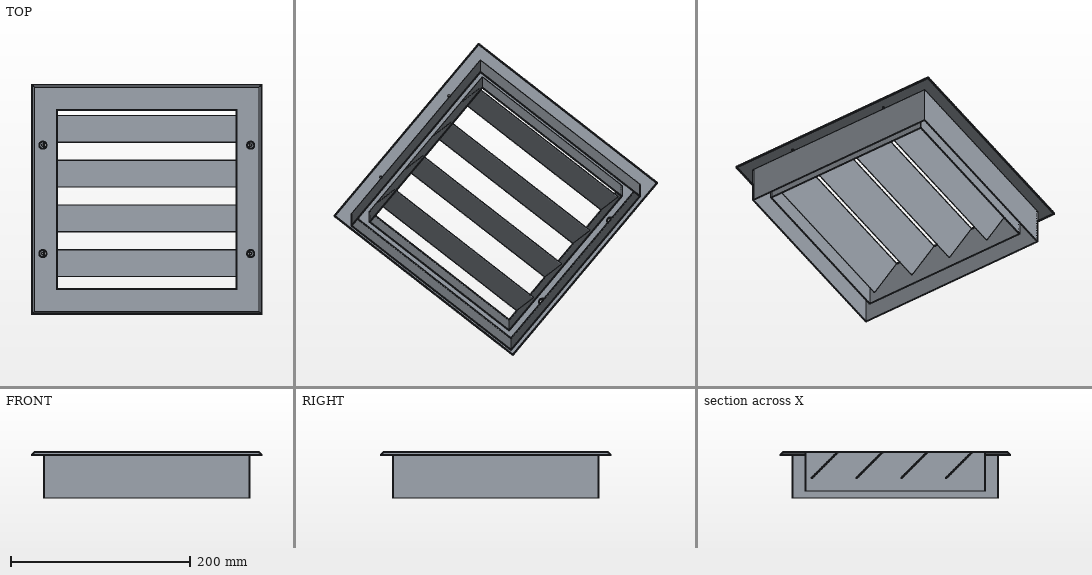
import cadquery as cq
import math

total_height = 52.0

sheet_thickness = 1.0

cover_width = 257.0
cover_height = 4.5
bevel_size = 3.0
bevel_angle = 45.0
opening_width = 199.0
cover_bottom = total_height - cover_height
cover_underside = total_height - sheet_thickness

cavity_width = cover_width - 2 * sheet_thickness
bevel_offset_drop = sheet_thickness * math.tan(math.radians(bevel_angle / 2))
cavity_bevel_start = total_height - bevel_size - bevel_offset_drop

sleeve_height = 44.0
sleeve_width = opening_width + 2 * sheet_thickness

blade_length = opening_width
blade_width = 42.0
blade_thickness = 1.5
blade_tilt = 45.0
blade_count = 4
blade_pitch = 50.0
blade_row_shift = 3.75
blade_half_height = (
    (blade_width - blade_thickness) * math.sin(math.radians(blade_tilt)) + blade_thickness
) / 2
blade_center_z = total_height - blade_half_height

screw_spacing_x = 232.0
screw_spacing_y = 121.0
countersink_diameter = 9.0
countersink_half_angle = 45.0
flange_hole_diameter = 2.5

box_width = 230.0
flange_width = cavity_width
box_height = cover_bottom + sheet_thickness
flange_bottom = box_height - sheet_thickness


def square_block(width, bottom, height, taper=0):
    """Square block centred on the Z axis, narrowing upwards when tapered."""
    return cq.Workplane("XY").workplane(offset=bottom).rect(width, width).extrude(height, taper=taper)


def screw_points(height):
    """Workplane at the given height with the four screw positions selected."""
    return (
        cq.Workplane("XY")
        .workplane(offset=height)
        .rect(screw_spacing_x, screw_spacing_y, forConstruction=True)
        .vertices()
    )


def bevelled_block(width, bottom, bevel_start, top):
    """Square block with straight sides up to bevel_start and bevelled sides above."""
    base = square_block(width, bottom, bevel_start - bottom)
    bevel = square_block(width, bevel_start, top - bevel_start, taper=bevel_angle)
    return base.union(bevel)


def make_cover():
    """Hollow bevelled cover with the square opening and the countersunk screw holes."""
    outside = bevelled_block(cover_width, cover_bottom, total_height - bevel_size, total_height)
    cavity = bevelled_block(cavity_width, cover_bottom, cavity_bevel_start, cover_underside)
    opening = square_block(opening_width, cover_bottom, cover_height)
    countersinks = (
        screw_points(total_height)
        .circle(countersink_diameter / 2)
        .extrude(-sheet_thickness, taper=countersink_half_angle)
    )
    return outside.cut(cavity).cut(opening).cut(countersinks)


def make_sleeve():
    """Square sheet sleeve that continues the opening downwards."""
    bottom = total_height - sleeve_height
    outside = square_block(sleeve_width, bottom, sleeve_height)
    return outside.cut(square_block(opening_width, bottom, sleeve_height))


def make_blade(center_y):
    """One louvre blade spanning the opening along X."""
    return (
        cq.Workplane("YZ")
        .slot2D(blade_width, blade_thickness)
        .extrude(blade_length / 2, both=True)
        .rotate((0, 0, 0), (1, 0, 0), -blade_tilt)
        .translate((0, center_y, blade_center_z))
    )


def make_grille():
    """Cover, sleeve and louvre blades as one solid."""
    grille = make_cover().union(make_sleeve())
    first_blade_y = blade_row_shift - blade_pitch * (blade_count - 1) / 2
    for index in range(blade_count):
        grille = grille.union(make_blade(first_blade_y + index * blade_pitch))
    return grille


def make_mounting_box():
    """Open square sheet box with a drilled outward flange around its top."""
    walls = square_block(box_width, 0, box_height)
    flange = square_block(flange_width, flange_bottom, sheet_thickness)
    inside = square_block(box_width - 2 * sheet_thickness, 0, box_height)
    screw_holes = screw_points(flange_bottom).circle(flange_hole_diameter / 2).extrude(sheet_thickness)
    return walls.union(flange).cut(inside).cut(screw_holes)


grille = make_grille()
mounting_box = make_mounting_box()
result = cq.Compound.makeCompound([*grille.solids().vals(), *mounting_box.solids().vals()])